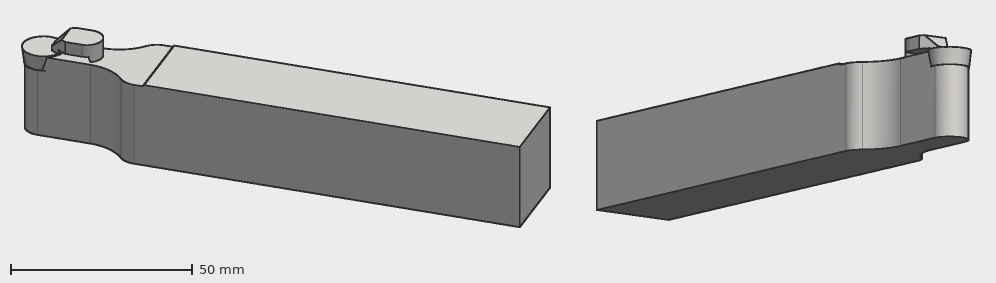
import cadquery as cq
import math

total_length = 150.0
shank_size = 25.0
half_shank = shank_size / 2
shank_top = shank_size

insert_radius = 6.0
insert_thickness = 4.8
relief_angle = 7.0
insert_x = insert_radius
insert_floor = shank_top - insert_thickness
insert_floor_radius = insert_radius - insert_thickness * math.tan(math.radians(relief_angle))

neck_half_width = 5.2
neck_drop = 0.5
neck_top = shank_top - neck_drop
ramp_end_x = 39.9
flare_end_x = 36.9
concave_radius = 14.0
convex_radius = 6.0

clamp_top = 30.0
clamp_half_width = 4.5
clamp_tip_x = 9.0
clamp_tip_half_width = 1.6
clamp_shoulder_x = 14.0
clamp_round_x = 18.8
clamp_end_x = clamp_round_x + clamp_half_width
bevel_foot_z = 26.5
bevel_top_x = 12.6

gap_roof_z = 26.2
gap_front_x = 11.4
gap_rear_x = 20.5
gap_flare = 0.6


def make_insert():
    """Truncated cone with its larger face on top."""
    return (
        cq.Workplane("XZ")
        .moveTo(insert_x, insert_floor)
        .lineTo(insert_x + insert_floor_radius, insert_floor)
        .lineTo(insert_x + insert_radius, shank_top)
        .lineTo(insert_x, shank_top)
        .close()
        .revolve(360, (insert_x, 0, 0), (insert_x, 1, 0))
    )


def make_shank_and_neck():
    """Extruded plan outline with the neck lowered below the shank top."""
    rise = half_shank - neck_half_width
    sweep = math.acos(1 - rise / (concave_radius + convex_radius))
    flare_start_x = flare_end_x - (concave_radius + convex_radius) * math.sin(sweep)

    def concave_point(angle):
        x = flare_start_x + concave_radius * math.sin(angle)
        y = neck_half_width + concave_radius * (1 - math.cos(angle))
        return x, y

    def convex_point(angle):
        x = flare_end_x - convex_radius * math.sin(angle)
        y = half_shank - convex_radius * (1 - math.cos(angle))
        return x, y

    def mirrored(point):
        return point[0], -point[1]

    concave_middle = concave_point(sweep / 2)
    arc_joint = concave_point(sweep)
    convex_middle = convex_point(sweep / 2)
    flare_start = (flare_start_x, neck_half_width)
    flare_end = (flare_end_x, half_shank)

    body = (
        cq.Workplane("XY")
        .moveTo(insert_x, neck_half_width)
        .lineTo(*flare_start)
        .threePointArc(concave_middle, arc_joint)
        .threePointArc(convex_middle, flare_end)
        .lineTo(total_length, half_shank)
        .lineTo(total_length, -half_shank)
        .lineTo(*mirrored(flare_end))
        .threePointArc(mirrored(convex_middle), mirrored(arc_joint))
        .threePointArc(mirrored(concave_middle), mirrored(flare_start))
        .lineTo(insert_x, -neck_half_width)
        .threePointArc((insert_x - neck_half_width, 0), (insert_x, neck_half_width))
        .close()
        .extrude(shank_top)
    )
    neck_relief = (
        cq.Workplane("XZ")
        .moveTo(0, neck_top)
        .lineTo(ramp_end_x - neck_drop, neck_top)
        .lineTo(ramp_end_x, shank_top)
        .lineTo(0, shank_top)
        .close()
        .extrude(half_shank, both=True)
    )
    return body.cut(neck_relief)


def make_clamp():
    """Arm with a tapered, bevelled tip and a round rear post."""
    arm = (
        cq.Workplane("XY", origin=(0, 0, neck_top))
        .moveTo(clamp_tip_x, clamp_tip_half_width)
        .lineTo(clamp_shoulder_x, clamp_half_width)
        .lineTo(clamp_round_x, clamp_half_width)
        .threePointArc((clamp_end_x, 0), (clamp_round_x, -clamp_half_width))
        .lineTo(clamp_shoulder_x, -clamp_half_width)
        .lineTo(clamp_tip_x, -clamp_tip_half_width)
        .close()
        .extrude(clamp_top - neck_top)
    )
    profile = (
        cq.Workplane("XZ")
        .moveTo(clamp_tip_x, shank_top)
        .lineTo(clamp_tip_x, bevel_foot_z)
        .lineTo(bevel_top_x, clamp_top)
        .lineTo(clamp_end_x, clamp_top)
        .lineTo(clamp_end_x, neck_top)
        .lineTo(gap_rear_x + gap_flare, neck_top)
        .lineTo(gap_rear_x, gap_roof_z)
        .lineTo(gap_front_x, gap_roof_z)
        .lineTo(gap_front_x + gap_flare, shank_top)
        .close()
        .extrude(clamp_half_width, both=True)
    )
    return arm.intersect(profile)


insert = make_insert()

holder = make_shank_and_neck().cut(insert).union(make_clamp())

result = cq.Compound.makeCompound([holder.solids().val(), insert.val()])